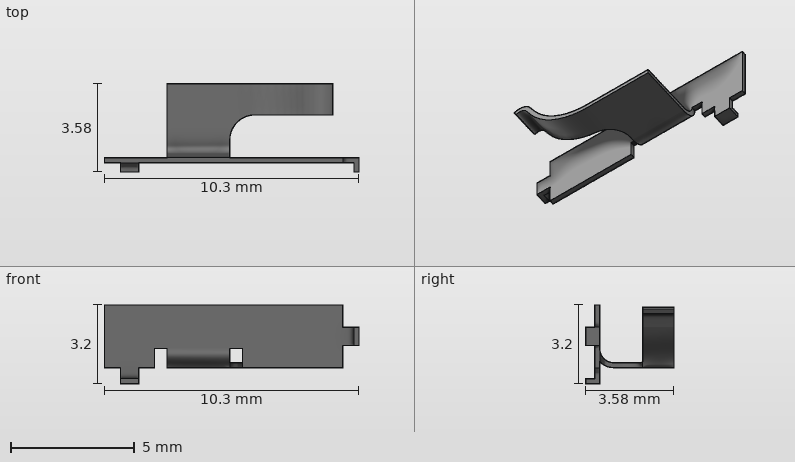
import cadquery as cq
import math

thickness = 0.21

plate_length = 9.65
plate_height = 2.55

tab_width = 0.75
lower_tab_start = 0.64
lower_tab_reach = 0.65
end_tab_reach = 0.66
lip_projection = 0.37

spring_start = 2.53
spring_root_width = 2.55
spring_end = spring_start + spring_root_width
spring_depth = 3.21
relief_gap = 0.5
bend_outer_radius = 0.77
bend_inner_radius = bend_outer_radius - thickness

finger_width = spring_root_width / 2
finger_front = spring_depth - finger_width
corner_radius = 1.0
rise_start = spring_end + relief_gap
rise_inner_radius = 3.05
rise_angle = 60.0
straight_length = 0.5
tip_outer_radius = 0.57
tip_inner_radius = tip_outer_radius - thickness
tip_end_angle = -30.0


def box(x_range, y_range, z_range):
    """Box spanning three (low, high) ranges."""
    sizes = [high - low for low, high in (x_range, y_range, z_range)]
    corner = (x_range[0], y_range[0], z_range[0])
    return cq.Workplane("XY").box(*sizes, centered=False).translate(corner)


def make_plate():
    """Upright plate with the relief notch around the spring root."""
    plate = box((0, plate_length), (0, thickness), (0, plate_height))
    notch = box(
        (spring_start - relief_gap, spring_end + relief_gap),
        (0, thickness),
        (0, bend_outer_radius),
    )
    return plate.cut(notch)


def make_lower_tab():
    """Tab hanging from the lower edge, its lip turned forwards."""
    x_range = (lower_tab_start, lower_tab_start + tab_width)
    stem = box(x_range, (0, thickness), (-lower_tab_reach, 0))
    lip = box(
        x_range,
        (-lip_projection, thickness),
        (-lower_tab_reach, thickness - lower_tab_reach),
    )
    return stem.union(lip)


def make_end_tab():
    """Tab at mid-height of the right-hand end, its lip turned forwards."""
    bottom = (plate_height - tab_width) / 2
    z_range = (bottom, bottom + tab_width)
    tip = plate_length + end_tab_reach
    stem = box((plate_length, tip), (0, thickness), z_range)
    lip = box((tip - thickness, tip), (-lip_projection, thickness), z_range)
    return stem.union(lip)


def make_root_bend():
    """Quarter bend joining the plate above the notch to the flat spring root."""
    centre = bend_outer_radius
    diagonal = math.sqrt(0.5)
    outer_middle = centre - bend_outer_radius * diagonal
    inner_middle = centre - bend_inner_radius * diagonal
    return (
        cq.Workplane("YZ", origin=(spring_start, 0, 0))
        .moveTo(0, centre)
        .threePointArc((outer_middle, outer_middle), (centre, 0))
        .lineTo(centre, thickness)
        .threePointArc((inner_middle, inner_middle), (thickness, centre))
        .close()
        .extrude(spring_root_width)
    )


def polar(centre, radius, angle):
    """Point at a radius and an angle (degrees above horizontal) from a centre."""
    turn = math.radians(angle)
    return (centre[0] + radius * math.cos(turn), centre[1] + radius * math.sin(turn))


def make_spring_strip():
    """Side profile of the spring, extruded over the full depth of its flat part."""
    rise_outer_radius = rise_inner_radius + thickness
    rise_centre = (rise_start, rise_outer_radius)
    rise_exit = rise_angle - 90
    rise_middle = rise_angle / 2 - 90

    tip_entry = 90 + rise_angle
    upper_rise_end = polar(rise_centre, rise_inner_radius, rise_exit)
    upper_straight_end = polar(upper_rise_end, straight_length, rise_angle)
    tip_centre = polar(upper_straight_end, tip_outer_radius, rise_exit)
    tip_end = 90 + tip_end_angle
    tip_middle = (tip_entry + tip_end) / 2

    profile = (
        cq.Workplane("XZ", origin=(0, bend_outer_radius, 0))
        .moveTo(spring_start, 0)
        .lineTo(rise_start, 0)
        .threePointArc(
            polar(rise_centre, rise_outer_radius, rise_middle),
            polar(rise_centre, rise_outer_radius, rise_exit),
        )
        .lineTo(*polar(tip_centre, tip_inner_radius, tip_entry))
        .threePointArc(
            polar(tip_centre, tip_inner_radius, tip_middle),
            polar(tip_centre, tip_inner_radius, tip_end),
        )
        .lineTo(*polar(tip_centre, tip_outer_radius, tip_end))
        .threePointArc(
            polar(tip_centre, tip_outer_radius, tip_middle),
            upper_straight_end,
        )
        .lineTo(*upper_rise_end)
        .threePointArc(
            polar(rise_centre, rise_inner_radius, rise_middle),
            (rise_start, thickness),
        )
        .lineTo(spring_start, thickness)
        .close()
    )
    return profile.extrude(bend_outer_radius - spring_depth)


def make_spring():
    """Spring strip trimmed to an L in plan, with a rounded inside corner."""
    corner_centre = (spring_end + corner_radius, finger_front - corner_radius)
    plan = (
        cq.Workplane("XY")
        .moveTo(spring_start, bend_outer_radius)
        .lineTo(spring_end, bend_outer_radius)
        .lineTo(spring_end, corner_centre[1])
        .threePointArc(
            polar(corner_centre, corner_radius, 135),
            (corner_centre[0], finger_front),
        )
        .lineTo(plate_length, finger_front)
        .lineTo(plate_length, spring_depth)
        .lineTo(spring_start, spring_depth)
        .close()
        .extrude(plate_height)
    )
    return make_spring_strip().intersect(plan)


result = make_plate()
for feature in (make_lower_tab(), make_end_tab(), make_root_bend(), make_spring()):
    result = result.union(feature)